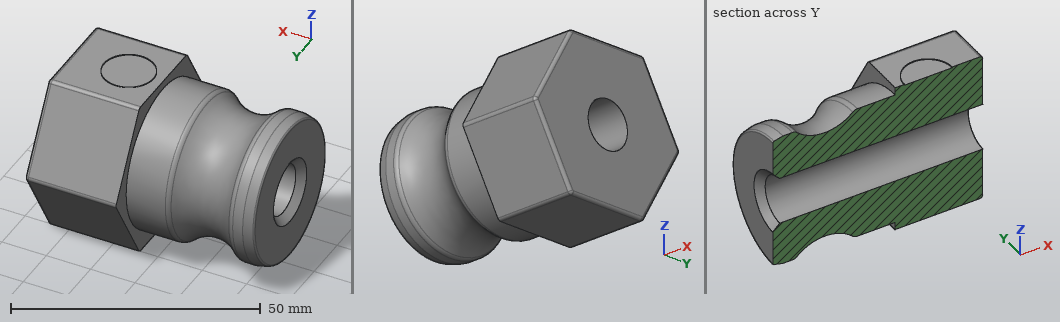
import cadquery as cq
import math

total_length = 49.2
hex_length = 20.55
hex_start = total_length - hex_length

across_flats = 35.65
hex_edge_radius = 1.0
hex_end_radius = 0.75

adapter_radius = 32.1 / 2
groove_center_x = 12.2
groove_bottom_radius = 13.05
groove_arc_radius = 9.55
groove_lip_radius = 1.57

taper_length = 2.35
taper_end_radius = 15.45
tip_edge_radius = 0.4

bore_diameter = 11.1
mouth_diameter = 14.35
mouth_depth = (mouth_diameter - bore_diameter) / 2

recess_diameter = 11.15
recess_depth = 0.2
recess_x = 36.4


def hex_body():
    corner_diameter = across_flats / math.cos(math.pi / 6)
    body = (
        cq.Workplane("YZ", origin=(hex_start, 0, 0))
        .polygon(6, corner_diameter)
        .extrude(hex_length)
    )
    body = body.edges("|X").fillet(hex_edge_radius)
    return body.faces(">X").edges().fillet(hex_end_radius)


def adapter():
    """Revolved barrel whose groove arc blends tangentially into a rounded lip on each side."""
    arc_center_r = groove_bottom_radius + groove_arc_radius
    lip_center_r = adapter_radius - groove_lip_radius
    center_distance = groove_arc_radius + groove_lip_radius
    rise = arc_center_r - lip_center_r
    lip_offset = math.sqrt(center_distance**2 - rise**2)

    arc_share = groove_arc_radius / center_distance
    tangent_offset = lip_offset * arc_share
    tangent_r = arc_center_r - rise * arc_share

    lip_sweep = math.asin(lip_offset / center_distance)
    mid_offset = lip_offset - groove_lip_radius * math.sin(lip_sweep / 2)
    mid_r = lip_center_r + groove_lip_radius * math.cos(lip_sweep / 2)

    x = groove_center_x
    profile = (
        cq.Workplane("XY")
        .moveTo(0, 0)
        .lineTo(0, taper_end_radius)
        .lineTo(taper_length, adapter_radius)
        .lineTo(x - lip_offset, adapter_radius)
        .threePointArc((x - mid_offset, mid_r), (x - tangent_offset, tangent_r))
        .threePointArc((x, groove_bottom_radius), (x + tangent_offset, tangent_r))
        .threePointArc((x + mid_offset, mid_r), (x + lip_offset, adapter_radius))
        .lineTo(hex_start, adapter_radius)
        .lineTo(hex_start, 0)
        .close()
    )
    barrel = profile.revolve(360, (0, 0, 0), (1, 0, 0))
    return barrel.faces("<X").edges().fillet(tip_edge_radius)


def bore():
    bore_radius = bore_diameter / 2
    mouth_radius = mouth_diameter / 2
    profile = (
        cq.Workplane("XY")
        .moveTo(0, 0)
        .lineTo(0, mouth_radius)
        .lineTo(mouth_depth, bore_radius)
        .lineTo(total_length, bore_radius)
        .lineTo(total_length, 0)
        .close()
    )
    return profile.revolve(360, (0, 0, 0), (1, 0, 0))


def marking_recess():
    return (
        cq.Workplane("XY", origin=(recess_x, 0, across_flats / 2 - recess_depth))
        .circle(recess_diameter / 2)
        .extrude(2 * recess_depth)
    )


result = hex_body().union(adapter()).cut(bore()).cut(marking_recess())